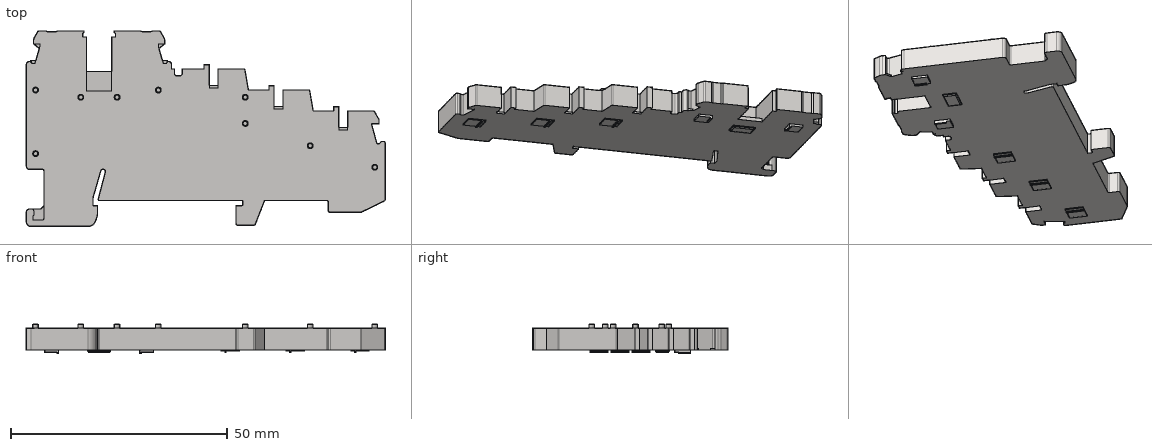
import cadquery as cq
import math

length = 83.1
width = 45.3
body_thickness = 5.1
backing_thickness = 0.4
small_radius = 0.3
tiny_radius = 0.2

foot_left = 4.1
foot_right = 16.5
foot_shoulder_y = 4.8
foot_toe_top = 4.1
foot_toe_radius = 1.1
foot_toe_tip_radius = 0.75
foot_heel_x = 15.5
foot_heel_y = 2.5
foot_heel_radius = 1.8
foot_side_radius = 4.15
left_shoulder_y = 13.2
left_shoulder_radius = 0.75
lower_edge_y = 6.0
rail_stop_left = 48.5
rail_stop_bottom = 0.25
rail_stop_radius = 0.5
rail_stop_neck = 50.1
rail_stop_tip = 52.9
rail_stop_root = 55.2
end_foot_left = 69.9
end_foot_right = 77.45
end_foot_bottom = 3.2
end_foot_radius = 0.5
toe_pocket_left = 1.75
toe_pocket_bottom = 1.5
toe_pocket_lip_radius = 0.5
toe_pocket_undercut = 0.2
toe_pocket_undercut_bottom = 2.4
toe_pocket_undercut_top = 2.7
toe_web_thickness = 1.3
toe_web_chamfer = 0.75
web_overlap = 0.25

spring_slot_left = 15.45
spring_slot_width = 1.1
spring_slot_bend_y = 6.6
spring_slot_top = 13.2
spring_slot_run = 1.9
spring_slot_tip_radius = 0.5

head_axis = 16.9
bay_half_width = 2.9
bay_bottom = 31.4
bay_floor_top = 35.9
bay_floor_thickness = 0.8
lip_half_width = 3.7
lip_bottom = 43.9
lip_recess = 0.25
lip_recess_bottom = 44.9
lip_edge_top = 44.7
catch_y = 42.3
catch_neck_drop = 0.6
catch_web_drop = 1.25
dip_top = 38.5
dip_bottom = 37.7
dip_left = 31.75
dip_right = 32.4
dip_flare = 0.3
shoulder_top = 38.2
shoulder_radius = 0.75
head_right = 33.65
head_neck = 30.6
head_nose_x = 32.1
head_nose_y = 43.4
head_nose_radius = 1.4
head_top_right = 31.0
head_top_radius = 0.5
head_relief_left = 26.4
head_relief_right = 29.25
head_relief_slope = 0.4
head_relief_depth = 0.2

step_count = 3
stair_run = 30.0
stair_drop = 9.7
step_pitch_x = stair_run / (step_count - 1)
step_pitch_y = stair_drop / (step_count - 1)
step_top = 36.5
rib_left = 41.1
rib_width = 1.25
rib_height = 1.0
notch_width = 2.0
notch_depth = 4.4
notch_floor_height = 0.6
block_width = 6.2
block_slant = 0.8

groove_left = 34.3
groove_right = 36.1
groove_bottom = 34.9
groove_radius = 0.5

latch_knob_top = 19.7
latch_knob_left = 82.2
latch_groove_bottom = 19.2
latch_groove_left = 81.2
latch_groove_flare = 0.4
latch_neck = 79.95
latch_tip = 81.7
latch_catch_y = 23.8
latch_nose_y = 24.8
latch_nose_left = 80.5

peg_radius = 0.7
peg_height = 1.0
peg_chamfer = 0.2
peg_centres = [
    (2.2, 31.6),
    (2.2, 16.9),
    (12.6, 29.9),
    (21.0, 29.9),
    (30.6, 31.6),
    (50.7, 29.9),
    (50.7, 23.85),
    (65.7, 18.7),
    (80.7, 13.7),
]

head_pad_depth = 0.5
head_pad_length = 3.2
head_pad_offset = 9.4
head_pad_bottom = 32.9
head_pad_top = 36.65
head_ridge_depth = 0.75
head_ridge_width = 0.4
head_ridge_bottom = 33.8
bay_pad_length = 5.3
bay_pad_width = 3.2
bay_pad_y = 30.1
bay_pad_chamfer = 0.25
step_pad_depth = 0.25
step_pad_left = 45.1
step_pad_length = 4.2
step_pad_width = 4.2
step_pad_top = 27.25
step_ridge_depth = 0.5
step_ridge_offset = 0.8
step_ridge_width = 0.3


def rounded_outline(corners):
    """Closed outline through (x, y, radius) corners, each radius being a tangent arc."""
    entries, middles, exits = [], [], []
    for i, (x, y, radius) in enumerate(corners):
        corner = cq.Vector(x, y)
        to_last = (cq.Vector(*corners[i - 1][:2]) - corner).normalized()
        to_next = (cq.Vector(*corners[(i + 1) % len(corners)][:2]) - corner).normalized()
        half_angle = to_last.getAngle(to_next) / 2
        setback = radius / math.tan(half_angle)
        bisector = (to_last + to_next).normalized()
        entries.append(corner + to_last * setback)
        middles.append(corner + bisector * (radius / math.sin(half_angle) - radius))
        exits.append(corner + to_next * setback)

    outline = cq.Workplane("XY").moveTo(exits[0].x, exits[0].y)
    for i in list(range(1, len(corners))) + [0]:
        outline = outline.lineTo(entries[i].x, entries[i].y)
        if corners[i][2] > 0:
            outline = outline.threePointArc(middles[i].toTuple()[:2], exits[i].toTuple()[:2])
    return outline.close()


def box(left, bottom, right, top, z_low, z_high):
    """Block between two opposite corners and two heights."""
    plan = cq.Workplane("XY").workplane(offset=z_low).center((left + right) / 2, (bottom + top) / 2)
    return plan.rect(right - left, top - bottom).extrude(z_high - z_low)


def mirrored(corners):
    """The corners reflected about the head axis, in reverse order."""
    return [(2 * head_axis - x, y, r) for x, y, r in reversed(corners)]


def lower_edge():
    """Corners from the foot toe to the lower right, left to right."""
    slot_right = spring_slot_left + spring_slot_width
    return [
        (0, 0, foot_toe_radius),
        (foot_heel_x, 0, foot_heel_radius),
        (foot_right, foot_heel_y, foot_side_radius),
        (foot_right, foot_shoulder_y, 0),
        (spring_slot_left, foot_shoulder_y, 0),
        (spring_slot_left, spring_slot_bend_y, 0),
        (spring_slot_left + spring_slot_run, spring_slot_top, spring_slot_tip_radius),
        (slot_right + spring_slot_run, spring_slot_top, spring_slot_tip_radius),
        (slot_right, lower_edge_y, small_radius),
        (rail_stop_neck, lower_edge_y, 0),
        (rail_stop_neck, foot_shoulder_y, small_radius),
        (rail_stop_left, foot_shoulder_y, 0),
        (rail_stop_left, rail_stop_bottom, rail_stop_radius),
        (rail_stop_tip, rail_stop_bottom, rail_stop_radius),
        (rail_stop_root, lower_edge_y, 0),
        (end_foot_left, lower_edge_y, small_radius),
        (end_foot_left, end_foot_bottom, end_foot_radius),
        (end_foot_right, end_foot_bottom, end_foot_radius),
        (length, lower_edge_y, small_radius),
    ]


def end_latch():
    """Corners of the latch recess at the right end, bottom to top."""
    return [
        (length, latch_knob_top, small_radius),
        (latch_knob_left, latch_knob_top, 0),
        (latch_knob_left - latch_groove_flare, latch_groove_bottom, tiny_radius),
        (latch_groove_left, latch_groove_bottom, tiny_radius),
        (latch_neck, latch_catch_y, 0),
        (latch_tip, latch_catch_y, 0),
        (latch_tip, latch_nose_y, 0),
    ]


def step_corners(index):
    """Corners of one terminal step, from its block on the right to its rib on the left."""
    left = rib_left + index * step_pitch_x
    top = step_top - index * step_pitch_y
    notch_left = left + rib_width
    notch_right = notch_left + notch_width
    block = [(notch_right, top, 0)]
    if index < step_count - 1:
        block_right = notch_right + block_width
        block = [
            (block_right + block_slant, top - step_pitch_y, 0),
            (block_right, top, small_radius),
        ] + block
    return block + [
        (notch_right, top - notch_depth, 0),
        (notch_left, top - notch_depth, 0),
        (notch_left, top + rib_height, 0),
        (left, top + rib_height, 0),
        (left, top, 0),
    ]


def right_head():
    """Corners of the right-hand wiring head, from its shoulder to the open bay."""
    relief_y = width - head_relief_depth
    return [
        (head_right, shoulder_top, shoulder_radius),
        (dip_right + dip_flare, shoulder_top, 0),
        (dip_right, dip_bottom, tiny_radius),
        (dip_left, dip_bottom, tiny_radius),
        (head_neck, catch_y - catch_neck_drop, 0),
        (head_neck, catch_y, 0),
        (head_nose_x, catch_y, 0),
        (head_nose_x, head_nose_y, head_nose_radius),
        (head_top_right, width, head_top_radius),
        (head_relief_right, width, 0),
        (head_relief_right - head_relief_slope, relief_y, 0),
        (head_relief_left + head_relief_slope, relief_y, 0),
        (head_relief_left, width, 0),
        (head_axis + lip_half_width - lip_recess, width, 0),
        (head_axis + lip_half_width - lip_recess, lip_recess_bottom, 0),
        (head_axis + lip_half_width, lip_edge_top, 0),
        (head_axis + lip_half_width, lip_bottom, 0),
        (head_axis + bay_half_width, lip_bottom, 0),
        (head_axis + bay_half_width, bay_bottom, 0),
    ]


def left_head():
    """Corners of the left-hand wiring head: the mirror image down to its own shoulder."""
    return mirrored(right_head()[1:]) + [(0, shoulder_top, shoulder_radius)]


def left_edge():
    """Corners down the left side and around the pocket of the foot toe."""
    return [
        (0, left_shoulder_y, left_shoulder_radius),
        (foot_left, left_shoulder_y, small_radius),
        (foot_left, toe_pocket_bottom, small_radius),
        (toe_pocket_left - toe_pocket_undercut, toe_pocket_bottom, 0),
        (toe_pocket_left - toe_pocket_undercut, toe_pocket_undercut_bottom, 0),
        (toe_pocket_left, toe_pocket_undercut_top, 0),
        (toe_pocket_left, foot_toe_top, toe_pocket_lip_radius),
        (0, foot_toe_top, foot_toe_tip_radius),
    ]


def body():
    """Flat housing cut to its full outline."""
    corners = lower_edge() + end_latch()
    last_top = step_top - (step_count - 1) * step_pitch_y
    corners.append((latch_nose_left, last_top, small_radius))
    for index in reversed(range(step_count)):
        corners += step_corners(index)
    corners += [
        (groove_right, step_top, 0),
        (groove_right, groove_bottom, groove_radius),
        (groove_left, groove_bottom, groove_radius),
        (groove_left, step_top, 0),
        (head_right, step_top, 0),
    ]
    corners += right_head() + left_head() + left_edge()
    return rounded_outline(corners).extrude(body_thickness)


def backing():
    """Thin webs that close the bay, the notches, the head recesses and the toe pocket."""
    webs = box(
        head_axis - bay_half_width, bay_bottom, head_axis + bay_half_width, bay_floor_top,
        0, bay_floor_thickness,
    )
    for index in range(step_count):
        left = rib_left + rib_width + index * step_pitch_x
        bottom = step_top - notch_depth - index * step_pitch_y
        webs = webs.union(
            box(left, bottom, left + notch_width, bottom + notch_floor_height, 0, backing_thickness)
        )

    catch_web = [
        (head_neck, catch_y, 0),
        (head_neck, catch_y - catch_web_drop, 0),
        (head_nose_x, catch_y, 0),
    ]
    dip_web = [
        (dip_left - dip_flare, dip_top, 0),
        (dip_left, dip_bottom - tiny_radius, 0),
        (dip_right, dip_bottom - tiny_radius, 0),
        (dip_right + dip_flare, dip_top, 0),
    ]
    for web in (catch_web, dip_web):
        for corners in (web, mirrored(web)):
            webs = webs.union(rounded_outline(corners).extrude(backing_thickness))

    toe_web = [
        (toe_pocket_left - toe_pocket_undercut - web_overlap, toe_pocket_bottom - web_overlap, 0),
        (foot_left + web_overlap, toe_pocket_bottom - web_overlap, 0),
        (foot_left + web_overlap, foot_toe_top + toe_web_chamfer, 0),
        (foot_left, foot_toe_top + toe_web_chamfer, 0),
        (foot_left - toe_web_chamfer, foot_toe_top, 0),
        (toe_pocket_left - toe_pocket_undercut - web_overlap, foot_toe_top, 0),
    ]
    return webs.union(rounded_outline(toe_web).extrude(toe_web_thickness))


def pegs():
    """Chamfered locating pegs on the upper face."""
    plan = cq.Workplane("XY").workplane(offset=body_thickness).pushPoints(peg_centres)
    return plan.circle(peg_radius).extrude(peg_height).faces(">Z").chamfer(peg_chamfer)


def contact_pads():
    """Raised pads and ridges on the lower face."""
    bay_pad = box(
        head_axis - bay_pad_length / 2, bay_pad_y - bay_pad_width / 2,
        head_axis + bay_pad_length / 2, bay_pad_y + bay_pad_width / 2,
        -head_pad_depth, 0,
    )
    pads = bay_pad.faces("<Z").chamfer(bay_pad_chamfer)

    for side in (-1, 1):
        inner = head_axis + side * head_pad_offset
        outer = inner + side * head_pad_length
        ridge = inner + side * head_ridge_width
        left, right = sorted((inner, outer))
        ridge_left, ridge_right = sorted((inner, ridge))
        pads = pads.union(box(left, head_pad_bottom, right, head_pad_top, -head_pad_depth, 0))
        pads = pads.union(
            box(ridge_left, head_ridge_bottom, ridge_right, head_pad_top, -head_ridge_depth, 0)
        )

    for index in range(step_count):
        left = step_pad_left + index * step_pitch_x
        top = step_pad_top - index * step_pitch_y
        bottom = top - step_pad_width
        ridge_left = left + step_ridge_offset
        ridge_right = ridge_left + step_ridge_width
        pads = pads.union(box(left, bottom, left + step_pad_length, top, -step_pad_depth, 0))
        pads = pads.union(box(ridge_left, bottom, ridge_right, top, -step_ridge_depth, 0))
    return pads


result = body().union(backing()).union(pegs()).union(contact_pads())